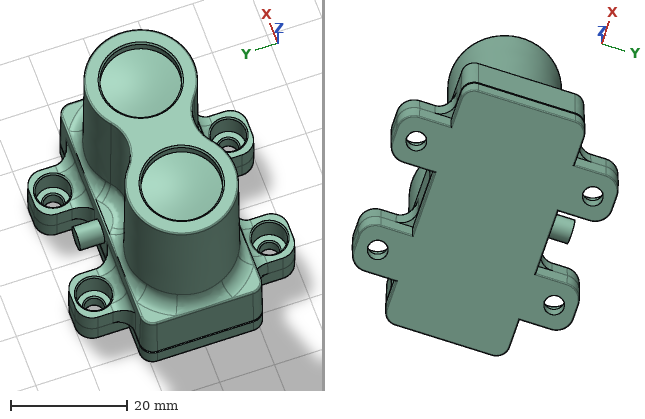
import cadquery as cq
import math

body_x = 45.3
body_y = 22.35
corner_radius = 2.4
total_height = 40.0
parting_z = 4.0
body_top_z = 14.3
body_draft = 1.0
body_edge_fillet = 0.3
bottom_edge_fillet = 0.2

groove_height = 0.5
groove_depth = 0.5

lens_x = 10.5
lobe_radius = 10.0
waist_radius = 6.7
turret_draft = 0.5
turret_foot_fillet = 2.75
turret_rim_fillet = 0.25

lens_radius = 7.02
lens_rim_chamfer = 0.3
lens_recess = 2.0
dome_height = 0.9

lug_width = 9.0
lug_span_y = 40.0
lug_corner_radius = 3.13
lug_top_z = 8.0
lug_flare_radius = 3.0
lug_draft = 1.0

hole_y = 16.0
hole_radius = 1.75
counterbore_radius = 3.13
counterbore_floor_z = 3.0
hole_rim_chamfer = 0.25

cable_diameter = 4.3
cable_z = 9.05
cable_end_y = 15.55

edge_margin = 0.1

station_xs = (-lens_x, lens_x)
hole_centers = [(x, y) for x in station_xs for y in (-hole_y, hole_y)]


def rounded_block(bottom_z, height, inset=0.0, taper=0.0):
    """Round-cornered rectangular block standing on bottom_z."""
    profile = (
        cq.Sketch()
        .rect(body_x - 2 * inset, body_y - 2 * inset)
        .vertices()
        .fillet(corner_radius - inset)
    )
    return cq.Workplane(origin=(0, 0, bottom_z)).placeSketch(profile).extrude(height, taper=taper)


def turret():
    """Drafted twin barrel: two round lobes joined by tangent concave waist arcs."""
    center_gap = lobe_radius + waist_radius
    waist_center_y = math.sqrt(center_gap**2 - lens_x**2)
    waist_y = waist_center_y - waist_radius
    tangent_x = lens_x * waist_radius / center_gap
    tangent_y = waist_center_y * lobe_radius / center_gap
    lobe_end_x = lens_x + lobe_radius
    return (
        cq.Workplane(origin=(0, 0, body_top_z))
        .moveTo(tangent_x, tangent_y)
        .threePointArc((lobe_end_x, 0), (tangent_x, -tangent_y))
        .threePointArc((0, -waist_y), (-tangent_x, -tangent_y))
        .threePointArc((-lobe_end_x, 0), (-tangent_x, tangent_y))
        .threePointArc((0, waist_y), (tangent_x, tangent_y))
        .close()
        .extrude(total_height - body_top_z, taper=turret_draft)
        .faces(">Z")
        .edges()
        .fillet(turret_rim_fillet)
    )


def lug_bars(height):
    """Two bars across the body, each forming a pair of lugs, narrowing away from the parting plane.

    A negative height extends the bars downward.
    """
    profile = cq.Sketch().rect(lug_width, lug_span_y).vertices().fillet(lug_corner_radius)
    return (
        cq.Workplane(origin=(0, 0, parting_z))
        .pushPoints([(x, 0) for x in station_xs])
        .placeSketch(profile)
        .extrude(height, taper=lug_draft)
    )


def screw_holes():
    """Stepped cutter for all four lugs: through hole, counterbore and a chamfer at each rim."""
    profile = (
        cq.Workplane("XZ")
        .moveTo(0, 0)
        .lineTo(hole_radius, 0)
        .lineTo(hole_radius, counterbore_floor_z - hole_rim_chamfer)
        .lineTo(hole_radius + hole_rim_chamfer, counterbore_floor_z)
        .lineTo(counterbore_radius, counterbore_floor_z)
        .lineTo(counterbore_radius, lug_top_z - hole_rim_chamfer)
        .lineTo(counterbore_radius + hole_rim_chamfer, lug_top_z)
        .lineTo(0, lug_top_z)
        .close()
    )
    cutter = profile.revolve(360, (0, 0, 0), (0, 1, 0)).val()
    return cq.Workplane().pushPoints(hole_centers).eachpoint(lambda place: cutter.moved(place), combine="a")


def flare_lugs(housing):
    """Concave fillet where the top and sides of every lug meet the drafted body wall."""
    half_width = lug_width / 2 + edge_margin
    wall_y = body_y / 2
    wall_lean = (lug_top_z + lug_flare_radius - parting_z) * math.tan(math.radians(body_draft))
    reach_y = wall_lean + edge_margin
    for center_x, hole_side_y in hole_centers:
        center_y = math.copysign(wall_y, hole_side_y)
        lug_root = cq.selectors.BoxSelector(
            (center_x - half_width, center_y - reach_y, parting_z - edge_margin),
            (center_x + half_width, center_y + reach_y, lug_top_z + edge_margin),
            boundingbox=True,
        )
        housing = housing.edges(lug_root).fillet(lug_flare_radius)
    return housing


def flare_turret_foot(housing):
    """Concave fillet around the turret foot, running out on the body's top edge."""
    turret_outline = cq.selectors.BoxSelector(
        (-lens_x - lobe_radius, -lobe_radius, body_top_z - edge_margin),
        (lens_x + lobe_radius, lobe_radius, body_top_z + edge_margin),
        boundingbox=True,
    )
    return housing.edges(turret_outline).fillet(turret_foot_fillet)


def lens_pocket(center_x):
    """Round pocket cutter whose floor is a shallow spherical lens dome."""
    rim_z = total_height - lens_recess
    profile = (
        cq.Workplane("XZ")
        .moveTo(0, total_height)
        .lineTo(lens_radius + lens_rim_chamfer, total_height)
        .lineTo(lens_radius, total_height - lens_rim_chamfer)
        .lineTo(lens_radius, rim_z)
    )
    sphere_radius = (lens_radius**2 + dome_height**2) / (2 * dome_height)
    half_angle = math.asin(lens_radius / sphere_radius) / 2
    sphere_z = rim_z + dome_height - sphere_radius
    middle = (sphere_radius * math.sin(half_angle), sphere_z + sphere_radius * math.cos(half_angle))
    return (
        profile.threePointArc(middle, (0, rim_z + dome_height))
        .close()
        .revolve(360, (0, 0, 0), (0, 1, 0))
        .translate((center_x, 0, 0))
    )


body = rounded_block(parting_z, body_top_z - parting_z, taper=body_draft)
body = body.faces(">Z").edges().fillet(body_edge_fillet)
housing = body.union(turret()).union(lug_bars(lug_top_z - parting_z))
housing = housing.cut(screw_holes())
housing = flare_lugs(housing)
housing = flare_turret_foot(housing)

lid = rounded_block(0, parting_z - groove_height)
lid = lid.union(rounded_block(parting_z - groove_height, groove_height, inset=groove_depth))
lid = lid.union(lug_bars(-parting_z))
lid = lid.faces("<Z").edges().fillet(bottom_edge_fillet)
lid = lid.cut(screw_holes())

cable = cq.Workplane("XZ", origin=(0, 0, cable_z)).circle(cable_diameter / 2).extrude(-cable_end_y)

result = housing.union(lid).union(cable)
for center_x in station_xs:
    result = result.cut(lens_pocket(center_x))